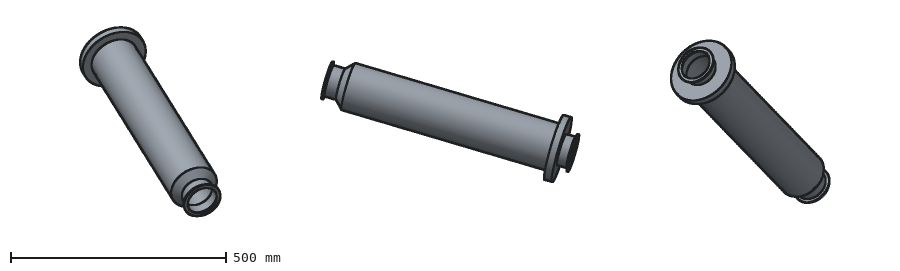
import cadquery as cq
import math

LENGTH = 600.0

BORE_DIAMETER = 72.3
TUBE_DIAMETER = 76.3

FERRULE_DIAMETER = 91.0
FERRULE_RIM_WIDTH = 2.85
FERRULE_BACK_ANGLE = 20.0

FLANGE_DIAMETER = 157.5
FLANGE_START = 28.5
FLANGE_THICKNESS = 18.5

BODY_DIAMETER = 114.3
BODY_END = 547.7

REDUCER_LENGTH = (BODY_DIAMETER - TUBE_DIAMETER) / 2


def cylinder(diameter, start, length):
    """Solid cylinder along +X beginning at x = start."""
    return cq.Workplane("YZ", origin=(start, 0, 0)).circle(diameter / 2).extrude(length)


def revolve_profile(points):
    """Solid of revolution about X from (x, radius) points that begin and end on the axis."""
    return cq.Workplane("XZ").polyline(points).close().revolve(360, (0, 0, 0), (1, 0, 0))


def ferrule():
    """Clamp ferrule with its sealing face at x = 0 and its cone tapering toward +X."""
    rim_radius = FERRULE_DIAMETER / 2
    tube_radius = TUBE_DIAMETER / 2
    cone_length = (rim_radius - tube_radius) * math.tan(math.radians(FERRULE_BACK_ANGLE))
    cone_end = FERRULE_RIM_WIDTH + cone_length
    return revolve_profile([
        (0, 0),
        (0, rim_radius),
        (FERRULE_RIM_WIDTH, rim_radius),
        (cone_end, tube_radius),
        (cone_end, 0),
    ])


def body():
    """Main cylinder from the flange to the reducer, followed by the reducer cone."""
    reducer_end = BODY_END + REDUCER_LENGTH
    return revolve_profile([
        (FLANGE_START, 0),
        (FLANGE_START, BODY_DIAMETER / 2),
        (BODY_END, BODY_DIAMETER / 2),
        (reducer_end, TUBE_DIAMETER / 2),
        (reducer_end, 0),
    ])


tube = cylinder(TUBE_DIAMETER, 0, LENGTH)
flange = cylinder(FLANGE_DIAMETER, FLANGE_START, FLANGE_THICKNESS)
near_ferrule = ferrule()
far_ferrule = ferrule().mirror("YZ").translate((LENGTH, 0, 0))
bore = cylinder(BORE_DIAMETER, 0, LENGTH)

result = tube.union(body()).union(flange).union(near_ferrule).union(far_ferrule).cut(bore)